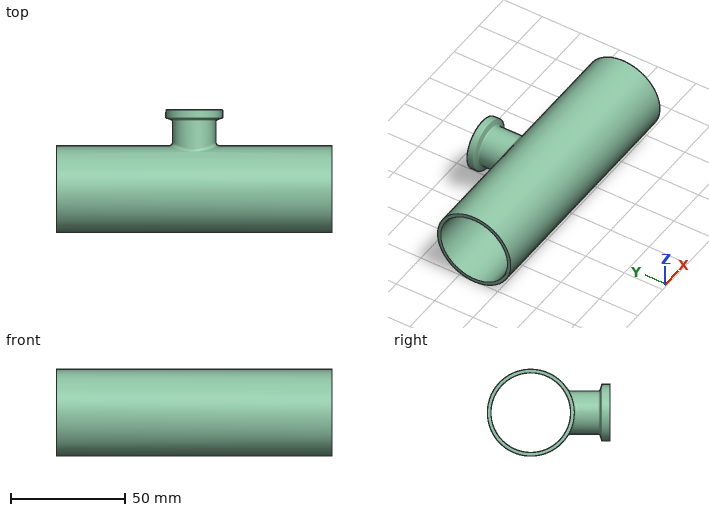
import cadquery as cq

tube_length = 120.6
tube_outer_diameter = 38.1
tube_bore_diameter = 34.7

branch_end = 53.8 - tube_outer_diameter / 2
neck_diameter = 19.1
branch_bore_diameter = 15.8
flange_diameter = 25.0
flange_rim_width = 3.6
flange_taper_width = 1.0
flange_edge_round = 0.4
neck_root_round = 0.6
joint_round = 1.5


def cylinder_along_x(diameter):
    return cq.Workplane("YZ").circle(diameter / 2).extrude(tube_length / 2, both=True)


def branch_body():
    """Neck and tapered-back flange, revolved about Y from the tube centre."""
    rim_back = branch_end - flange_rim_width
    taper_back = rim_back - flange_taper_width
    flange_radius = flange_diameter / 2
    neck_radius = neck_diameter / 2
    body = (
        cq.Workplane("XY")
        .polyline([
            (0, 0),
            (neck_radius, 0),
            (neck_radius, taper_back),
            (flange_radius, rim_back),
            (flange_radius, branch_end),
            (0, branch_end),
        ])
        .close()
        .revolve(360, (0, 0, 0), (0, 1, 0))
    )
    size = flange_diameter
    rim_edges = cq.selectors.BoxSelector(
        (-size, rim_back - flange_taper_width / 4, -size),
        (size, branch_end + flange_edge_round, size),
        boundingbox=True,
    )
    root_edge = cq.selectors.BoxSelector(
        (-size, taper_back - flange_taper_width / 4, -size),
        (size, taper_back + flange_taper_width / 4, size),
        boundingbox=True,
    )
    body = body.edges("%CIRCLE").edges(rim_edges).fillet(flange_edge_round)
    return body.edges("%CIRCLE").edges(root_edge).fillet(neck_root_round)


def joint_edge():
    """Selects the saddle-shaped edge where the neck meets the tube."""
    reach = neck_diameter
    return cq.selectors.BoxSelector(
        (-reach, 0, -reach),
        (reach, tube_outer_diameter / 2 + joint_round, reach),
        boundingbox=True,
    )


def branch_bore():
    return (
        cq.Workplane("XZ")
        .circle(branch_bore_diameter / 2)
        .extrude(-branch_end)
    )


solid_tee = cylinder_along_x(tube_outer_diameter).union(branch_body())
rounded_tee = solid_tee.edges(joint_edge()).fillet(joint_round)
result = rounded_tee.cut(cylinder_along_x(tube_bore_diameter)).cut(branch_bore())